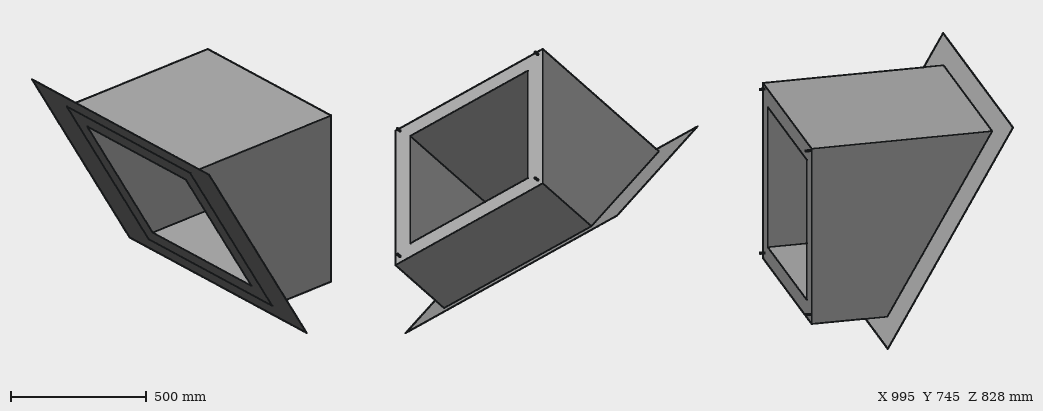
import cadquery as cq
import math

plate_width = 995.0
plate_height = 828.0
plate_thickness = 1.0
plate_angle = 60.0

duct_size = 694.0
duct_wall = 70.0

overall_depth = 745.0
pin_length = 17.0
pin_diameter = 6.0
pin_spacing = 648.0
pin_center_rise = 7.0

duct_back = overall_depth - pin_length
duct_center_z = plate_height / 2
duct_bottom = duct_center_z - duct_size / 2
duct_top = duct_center_z + duct_size / 2
opening_size = duct_size - 2 * duct_wall

slope = math.radians(plate_angle)
end_rise = plate_thickness * math.cos(slope)
end_run = plate_thickness * math.sin(slope)
face_height = plate_height - end_rise
face_run = face_height / math.tan(slope)


def front_face_y(z):
    """Y of the sloping front face at height z."""
    return (plate_height - z) / math.tan(slope)


def extrude_across(points, width):
    """Extrude a YZ outline symmetrically about X = 0."""
    return cq.Workplane("YZ").polyline(points).close().extrude(width / 2, both=True)


def make_plate():
    outer_top = (0, plate_height)
    outer_bottom = (face_run, end_rise)
    inner_bottom = (face_run + end_run, 0)
    inner_top = (end_run, face_height)
    return extrude_across([outer_top, outer_bottom, inner_bottom, inner_top], plate_width)


def make_duct():
    outline = [
        (front_face_y(duct_top), duct_top),
        (duct_back, duct_top),
        (duct_back, duct_bottom),
        (front_face_y(duct_bottom), duct_bottom),
    ]
    return extrude_across(outline, duct_size)


def make_opening():
    return (
        cq.Workplane("XY")
        .box(opening_size, overall_depth, opening_size, centered=(True, False, True))
        .translate((0, 0, duct_center_z))
    )


def make_pins():
    return (
        cq.Workplane("XZ", origin=(0, duct_back, duct_center_z + pin_center_rise))
        .rarray(pin_spacing, pin_spacing, 2, 2)
        .circle(pin_diameter / 2)
        .extrude(-pin_length)
    )


result = make_plate().union(make_duct()).cut(make_opening()).union(make_pins())